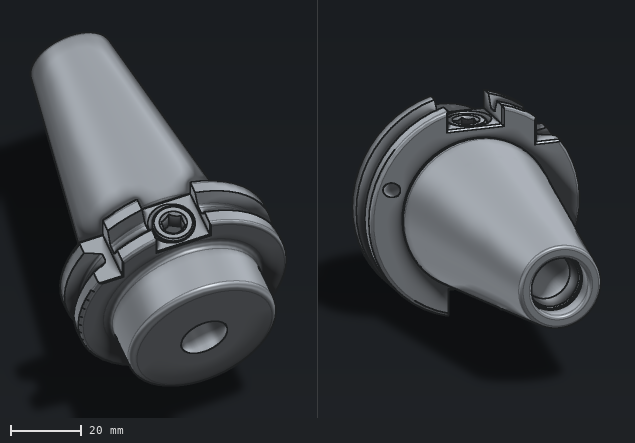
import cadquery as cq
import math


length = 103.4
gauge_x = 69.0
gauge_radius = 22.3
taper_ratio = 7 / 24
nose_radius = gauge_radius - gauge_x * taper_ratio / 2
nose_fillet = 1.0

relief_start_x = 70.1
relief_depth = 0.3
relief_end_x = relief_start_x + 2 * relief_depth
relief_radius = gauge_radius - relief_depth

flange_x = 71.6
flange_width = 15.9
flange_end_x = flange_x + flange_width
flange_mid_x = flange_x + flange_width / 2
flange_diameter = 63.4
flange_radius = flange_diameter / 2
flange_fillet = 1.0
groove_radius = 28.0
groove_top_width = 7.2
groove_wall_angle = 30
groove_fillet = 1.0
groove_wall_run = (flange_radius - groove_radius) * math.tan(math.radians(groove_wall_angle))
groove_top_half = groove_top_width / 2
groove_floor_half = groove_top_half - groove_wall_run

hub_radius = 22.5
hub_root_fillet = 2.0
hub_end_fillet = 2.0

bore_radius = 7.0
mouth_radius = 8.5
mouth_depth = 5.6
mouth_fillet = 1.0
lip_step_radius = 8.2
lip_step_x = mouth_depth + mouth_radius - lip_step_radius
lip_step_width = 0.5
lip_cone_x = lip_step_x + lip_step_width
lip_radius = 7.8
lip_end_x = lip_cone_x + lip_step_radius - lip_radius
chamber_radius = 10.4
chamber_floor_radius = 9.2
chamber_floor_x = 10.7
chamber_end_x = chamber_floor_x - (chamber_radius - chamber_floor_radius)
floor_half_angle = 60
floor_run = (chamber_floor_radius - bore_radius) / math.tan(math.radians(floor_half_angle))
bore_start_x = chamber_floor_x + floor_run

slot_width = 16.1
upper_slot_floor = 25.0
lower_slot_floor = 22.9
notch_side = 18.5
shank_side_chamfer = 0.6
hub_side_chamfer = 0.3
slot_overrun = 2.1

coolant_radius = 2.1
coolant_pitch_radius = 26.8
coolant_azimuth = 20
coolant_slant = 40
coolant_reach = (coolant_pitch_radius - bore_radius / 2) / math.sin(math.radians(coolant_slant))
coolant_lead = 3.1

screw_radius = 6.0
screw_recess = 0.2
screw_length = 16.0
screw_chamfer = 0.5
screw_top = upper_slot_floor - screw_recess
hex_across_flats = 6.0
hex_across_corners = hex_across_flats / math.cos(math.pi / 6)
hex_depth = 6.0
hex_mouth_radius = 3.9
countersink_radius = 6.7
countersink_shift_x = 0.2
countersink_shift_y = -0.6


def rings(x, *radii):
    """Selector for the circular edges about the X axis at position x with the given radii."""
    tolerance = 0.001

    class RingSelector(cq.Selector):
        def filter(self, edges):
            return [
                edge for edge in edges
                if edge.geomType() == "CIRCLE"
                and abs(edge.Center().x - x) < tolerance
                and any(abs(edge.radius() - radius) < tolerance for radius in radii)
            ]

    return RingSelector()


def revolved(points):
    return cq.Workplane("XZ").polyline(points).close().revolve(360, (0, 0, 0), (1, 0, 0))


def turned_blank():
    """Taper, relief, grooved flange and hub as one turned shape, without the bore."""
    blank = revolved([
        (0, 0),
        (0, nose_radius),
        (gauge_x, gauge_radius),
        (relief_start_x, gauge_radius),
        (relief_end_x, relief_radius),
        (flange_x, relief_radius),
        (flange_x, flange_radius),
        (flange_mid_x - groove_top_half, flange_radius),
        (flange_mid_x - groove_floor_half, groove_radius),
        (flange_mid_x + groove_floor_half, groove_radius),
        (flange_mid_x + groove_top_half, flange_radius),
        (flange_end_x, flange_radius),
        (flange_end_x, hub_radius),
        (length, hub_radius),
        (length, 0),
    ])
    blank = blank.edges(rings(0, nose_radius)).fillet(nose_fillet)
    for rim_x in (flange_x, flange_end_x):
        blank = blank.edges(rings(rim_x, flange_radius)).fillet(flange_fillet)
    for side in (-1, 1):
        floor_edge_x = flange_mid_x + side * groove_floor_half
        blank = blank.edges(rings(floor_edge_x, groove_radius)).fillet(groove_fillet)
    blank = blank.edges(rings(flange_end_x, hub_radius)).fillet(hub_root_fillet)
    return blank.edges(rings(length, hub_radius)).fillet(hub_end_fillet)


def bore_cutter():
    """Mouth, lip, chamber and through hole."""
    return revolved([
        (0, 0),
        (0, mouth_radius),
        (mouth_depth, mouth_radius),
        (lip_step_x, lip_step_radius),
        (lip_cone_x, lip_step_radius),
        (lip_end_x, lip_radius),
        (lip_end_x, chamber_radius),
        (chamber_end_x, chamber_radius),
        (chamber_floor_x, chamber_floor_radius),
        (bore_start_x, bore_radius),
        (length, bore_radius),
        (length, 0),
    ])


def slot_cutter(y_min, y_max, z_min, z_max, flared_walls=True):
    """Box along X through the flange, flared at both flange faces to chamfer the edges it leaves."""
    y_mid = (y_min + y_max) / 2
    z_mid = (z_min + z_max) / 2
    width = y_max - y_min
    height = z_max - z_min
    run = flange_width + slot_overrun
    cutter = cq.Workplane("YZ", origin=(flange_x, y_mid, z_mid)).rect(width, height).extrude(run)
    flares = ((flange_x, 1, shank_side_chamfer), (flange_end_x, -1, hub_side_chamfer))
    for face_x, inward, chamfer in flares:
        side_flare = 2 * chamfer if flared_walls else 0
        flared_end = (
            cq.Workplane("YZ", origin=(face_x, y_mid, z_mid))
            .rect(width + side_flare, height + 2 * chamfer)
            .workplane(offset=inward * chamfer)
            .rect(width, height)
            .loft(ruled=True)
        )
        cutter = cutter.union(flared_end)
    return cutter


def flange_cutouts():
    half = slot_width / 2
    beyond = flange_radius + 1
    return [
        slot_cutter(-half, half, upper_slot_floor, beyond),
        slot_cutter(-half, half, -beyond, -lower_slot_floor, flared_walls=False),
        slot_cutter(-beyond, -notch_side, notch_side, beyond),
    ]


def coolant_cutters():
    azimuth = math.radians(coolant_azimuth)
    slant = math.radians(coolant_slant)
    cutters = []
    for side in (-1, 1):
        outward = cq.Vector(0, side * math.cos(azimuth), side * math.sin(azimuth))
        direction = cq.Vector(math.cos(slant), 0, 0) - outward * math.sin(slant)
        mouth = cq.Vector(flange_x, 0, 0) + outward * coolant_pitch_radius
        start = mouth - direction * coolant_lead
        drill = cq.Solid.makeCylinder(coolant_radius, coolant_lead + coolant_reach, start, direction)
        cutters.append(cq.Workplane(drill))
    return cutters


def screw_hole_cutter():
    """Radial hole from the upper slot floor into the bore, with its off-centre countersink."""
    hole = cq.Workplane("XY", origin=(flange_mid_x, 0, 0)).circle(screw_radius).extrude(upper_slot_floor)
    countersink = cq.Solid.makeCone(
        countersink_radius,
        0,
        countersink_radius,
        cq.Vector(flange_mid_x + countersink_shift_x, countersink_shift_y, upper_slot_floor),
        cq.Vector(0, 0, -1),
    )
    return hole.union(cq.Workplane(countersink))


def make_holder():
    holder = turned_blank().cut(bore_cutter())
    holder = holder.edges(rings(0, mouth_radius)).fillet(mouth_fillet)
    for cutter in [*flange_cutouts(), *coolant_cutters(), screw_hole_cutter()]:
        holder = holder.cut(cutter)
    return holder


def make_clamping_screw():
    """Headless screw with a hexagon socket, filling the radial hole."""
    top = cq.Workplane("XY", origin=(flange_mid_x, 0, screw_top))
    screw = top.circle(screw_radius).extrude(-screw_length).edges().chamfer(screw_chamfer)
    socket = top.polygon(6, hex_across_corners).extrude(-hex_depth)
    socket_mouth = cq.Solid.makeCone(
        hex_mouth_radius,
        0,
        hex_mouth_radius,
        cq.Vector(flange_mid_x, 0, screw_top),
        cq.Vector(0, 0, -1),
    )
    return screw.cut(socket).cut(cq.Workplane(socket_mouth))


holder = make_holder()
clamping_screw = make_clamping_screw()

result = cq.Compound.makeCompound([holder.val(), clamping_screw.val()])